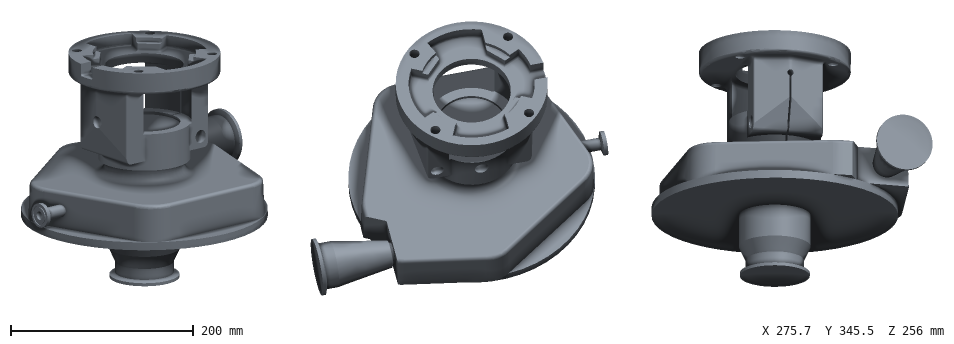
import cadquery as cq
import math


PLATE_RADIUS = 135.0
PLATE_THICKNESS = 9.0
HOUSING_TOP = 50.0
HOUSING_INRADIUS = 115.5
HOUSING_DRAFT = 2.0
HOUSING_CORNER = 34.5
CREST_Y = 133.5
HOUSING_TOP_FILLET = 4.0
LEFT_SIDE_ANGLE = 170.0
LEFT_SIDE_DISTANCE = 140.5
NOTCH_SIDE_ANGLE = 152.0
NOTCH_SIDE_DISTANCE = 109.5
OUTLET_FACE_Y = 110.2

INLET_RADIUS = 39.5
INLET_CONE_TOP = -35.5
INLET_CONE_END = -51.5
INLET_TIP_RADIUS = 32.0
INLET_LIP_RADIUS = 38.5
INLET_LIP_THICKNESS = 3.5
INLET_END = -69.5
LIP_FLARE = 2.0

NOZZLE_X = -96.5
NOZZLE_Z = 31.5
NOZZLE_NECK_RADIUS = 12.5
NOZZLE_START_Y = 113.5
NOZZLE_START_RADIUS = 15.2
NOZZLE_CONE_END_Y = 176.0
NOZZLE_RADIUS = 25.5
NOZZLE_LIP_RADIUS = 31.5
NOZZLE_LIP_THICKNESS = 3.8
NOZZLE_END_Y = 195.2
NOZZLE_ROUND = 1.5
NOZZLE_OVERLAP = 3.5

DRAIN_Z = 28.5
DRAIN_RADIUS = 7.0
DRAIN_LIP_RADIUS = 13.5
DRAIN_LIP_THICKNESS = 4.5
DRAIN_END_Y = -150.3
DRAIN_BORE_RADIUS = 5.0
DRAIN_BORE_DEPTH = 34.5
DRAIN_GROOVE_INNER = 9.0
DRAIN_GROOVE_OUTER = 11.0
DRAIN_GROOVE_DEPTH = 1.0

NECK_RADIUS = 44.5
NECK_FILLET = 10.0
RING_RADIUS = 50.5
RING_BOTTOM = 66.0
RING_TOP = 107.5
RING_BORE_RADIUS = 39.5
RING_BORE_DEPTH = 3.5
RING_HOLE_RADIUS = 7.5
RING_HOLE_Z = 95.0

LEG_HALF_WIDTH = 39.5
LEG_BOTTOM = 77.0
LEG_CREST_Y = 69.0
LEG_SIDE_Y = 58.7
LEG_INNER_RADIUS = 52.0
LEG_SLOPE_TOP = 116.0
LEG_SLOPE_BOTTOM = 84.3
LEG_BOTTOM_FILLET = 5.5
LEG_SIDE_FILLET = 2.0
LEG_CREST_FILLET = 8.3
LEG_TOP_FILLET = 4.5
FRONT_HOLE_RADIUS = 7.0
FRONT_HOLE_Z = 119.5
CLAMP_HOLE_RADIUS = 7.3
CLAMP_HOLE_Y = 47.5
CLAMP_HOLE_Z = 90.2
SPLIT_WIDTH = 2.5
SPLIT_TOP = 143.5
SPLIT_RELIEF_RADIUS = 3.5

FLANGE_RADIUS = 83.3
FLANGE_BOTTOM = 162.0
FLANGE_TOP = 186.5
FLANGE_FILLET = 3.5
FLANGE_BORE_RADIUS = 43.0
BOLT_OFFSET = 52.5
BOLT_HOLE_RADIUS = 5.5
POCKET_DEPTH = 13.8
POCKET_FILLET = 2.5
POCKET_Y_RADIUS = 69.0
POCKET_X_RADIUS = 73.0
REGISTER_RADIUS = 56.5
REGISTER_DEPTH = 5.0
KEYWAY_WIDTH = 20.0
LUG_RIM_X = 34.0
LUG_TIP_NEAR = 25.2
LUG_TIP_FAR = 43.2
LUG_SIDE_Y = 26.5
LUG_UPPER_RIM_Y = 35.5

CUT_MARGIN = 3.5


def disc(radius, bottom, top):
    return cq.Workplane("XY").workplane(offset=bottom).circle(radius).extrude(top - bottom)


def rod_along_x(radius, x_start, x_end, y, z):
    return cq.Workplane("YZ", origin=(x_start, 0, 0)).center(y, z).circle(radius).extrude(x_end - x_start)


def rod_along_y(radius, y_start, y_end, x, z):
    return cq.Workplane("XZ", origin=(x, y_start, z)).circle(radius).extrude(y_start - y_end)


def box(x_range, y_range, z_range):
    size = [high - low for low, high in (x_range, y_range, z_range)]
    return cq.Workplane("XY", origin=(x_range[0], y_range[0], z_range[0])).box(*size, centered=False)


def corner_point(side, next_side):
    """Crossing of two outline sides, each given as (normal angle, distance from the axis)."""
    a, b = math.radians(side[0]), math.radians(next_side[0])
    spread = math.sin(b - a)
    x = (side[1] * math.sin(b) - next_side[1] * math.sin(a)) / spread
    y = (next_side[1] * math.cos(a) - side[1] * math.cos(b)) / spread
    return x, y


def make_housing():
    right, upper_right, lower_left, lower_right = [
        (angle, HOUSING_INRADIUS) for angle in (0, 72, 216, 288)
    ]
    crest = (90, CREST_Y)
    left = (LEFT_SIDE_ANGLE, LEFT_SIDE_DISTANCE)
    sides = [right, upper_right, crest, left, lower_left, lower_right]
    corners = [corner_point(side, after) for side, after in zip(sides, sides[1:] + sides[:1])]
    body = (
        cq.Workplane("XY")
        .workplane(offset=PLATE_THICKNESS)
        .polyline(corners)
        .close()
        .extrude(HOUSING_TOP - PLATE_THICKNESS, taper=HOUSING_DRAFT)
    )
    body = body.edges("not #Z").fillet(HOUSING_CORNER)
    body = body.faces(">Z").edges().fillet(HOUSING_TOP_FILLET)

    outlet = (90, OUTLET_FACE_Y)
    notch = (NOTCH_SIDE_ANGLE, NOTCH_SIDE_DISTANCE)
    beyond = (90, CREST_Y + CUT_MARGIN)
    far_left = -LEFT_SIDE_DISTANCE
    notch_cut = (
        cq.Workplane("XY")
        .moveTo(far_left, OUTLET_FACE_Y)
        .lineTo(*corner_point(outlet, notch))
        .lineTo(*corner_point(beyond, notch))
        .lineTo(far_left, CREST_Y + CUT_MARGIN)
        .close()
        .extrude(HOUSING_TOP)
    )
    return body.cut(notch_cut)


def make_inlet():
    lip_top = INLET_END + INLET_LIP_THICKNESS
    profile = [
        (0, 0),
        (INLET_RADIUS, 0),
        (INLET_RADIUS, INLET_CONE_TOP),
        (INLET_TIP_RADIUS, INLET_CONE_END),
        (INLET_TIP_RADIUS, lip_top + LIP_FLARE),
        (INLET_LIP_RADIUS, lip_top),
        (INLET_LIP_RADIUS, INLET_END),
        (0, INLET_END),
    ]
    return cq.Workplane("XZ").polyline(profile).close().revolve(360, (0, 0), (0, 1))


def make_nozzle():
    buried_y = OUTLET_FACE_Y - NOZZLE_OVERLAP
    lip_y = NOZZLE_END_Y - NOZZLE_LIP_THICKNESS
    profile = [
        (0, buried_y),
        (NOZZLE_NECK_RADIUS, buried_y),
        (NOZZLE_NECK_RADIUS, NOZZLE_START_Y - NOZZLE_ROUND),
        (NOZZLE_START_RADIUS, NOZZLE_START_Y),
        (NOZZLE_RADIUS, NOZZLE_CONE_END_Y),
        (NOZZLE_RADIUS, lip_y - LIP_FLARE),
        (NOZZLE_LIP_RADIUS, lip_y),
        (NOZZLE_LIP_RADIUS, NOZZLE_END_Y),
        (0, NOZZLE_END_Y),
    ]
    turned = cq.Workplane("XY").polyline(profile).close().revolve(360, (0, 0), (0, 1))
    return turned.translate((NOZZLE_X, 0, NOZZLE_Z))


def make_drain():
    buried_y = -HOUSING_INRADIUS / 2
    lip_y = DRAIN_END_Y + DRAIN_LIP_THICKNESS
    profile = [
        (0, buried_y),
        (DRAIN_RADIUS, buried_y),
        (DRAIN_RADIUS, lip_y + LIP_FLARE),
        (DRAIN_LIP_RADIUS, lip_y),
        (DRAIN_LIP_RADIUS, DRAIN_END_Y),
        (DRAIN_GROOVE_OUTER, DRAIN_END_Y),
        (DRAIN_GROOVE_OUTER, DRAIN_END_Y + DRAIN_GROOVE_DEPTH),
        (DRAIN_GROOVE_INNER, DRAIN_END_Y + DRAIN_GROOVE_DEPTH),
        (DRAIN_GROOVE_INNER, DRAIN_END_Y),
        (0, DRAIN_END_Y),
    ]
    turned = cq.Workplane("XY").polyline(profile).close().revolve(360, (0, 0), (0, 1))
    return turned.translate((0, 0, DRAIN_Z))


def make_neck_and_ring():
    foot = HOUSING_TOP
    neck = (
        cq.Workplane("XZ")
        .moveTo(0, foot)
        .lineTo(NECK_RADIUS + NECK_FILLET, foot)
        .radiusArc((NECK_RADIUS, foot + NECK_FILLET), NECK_FILLET)
        .lineTo(NECK_RADIUS, RING_BOTTOM)
        .lineTo(RING_RADIUS, RING_BOTTOM)
        .lineTo(RING_RADIUS, RING_TOP)
        .lineTo(RING_BORE_RADIUS, RING_TOP)
        .lineTo(RING_BORE_RADIUS, RING_TOP - RING_BORE_DEPTH)
        .lineTo(0, RING_TOP - RING_BORE_DEPTH)
        .close()
        .revolve(360, (0, 0), (0, 1))
    )
    hole = rod_along_x(RING_HOLE_RADIUS, -RING_RADIUS - CUT_MARGIN, -RING_BORE_RADIUS, 0, RING_HOLE_Z)
    return neck.cut(hole)


def make_leg():
    """The leg on the -Y side, with a ridged outer face that slopes in at the bottom."""
    blank = (
        cq.Workplane("XY")
        .workplane(offset=LEG_BOTTOM)
        .moveTo(-LEG_HALF_WIDTH, 0)
        .lineTo(-LEG_HALF_WIDTH, -LEG_SIDE_Y)
        .lineTo(0, -LEG_CREST_Y)
        .lineTo(LEG_HALF_WIDTH, -LEG_SIDE_Y)
        .lineTo(LEG_HALF_WIDTH, 0)
        .close()
        .extrude(FLANGE_BOTTOM - LEG_BOTTOM)
    )
    blank = blank.edges("|Z and <Y").fillet(LEG_CREST_FILLET)
    blank = blank.edges("|Z and (<X or >X)").edges("<Y").fillet(LEG_SIDE_FILLET)
    slope_run = LEG_CREST_Y - LEG_SIDE_Y
    slope = slope_run / (LEG_SLOPE_TOP - LEG_SLOPE_BOTTOM)
    foot_y = LEG_SIDE_Y - slope * (LEG_SLOPE_BOTTOM - LEG_BOTTOM)
    wedge = (
        cq.Workplane("YZ")
        .polyline([(-LEG_CREST_Y, LEG_SLOPE_TOP), (-foot_y, LEG_BOTTOM), (-LEG_CREST_Y, LEG_BOTTOM)])
        .close()
        .extrude(LEG_HALF_WIDTH, both=True)
    )
    leg = blank.cut(wedge)
    leg = leg.faces("<Z").edges("<Y").fillet(LEG_BOTTOM_FILLET)
    leg = leg.cut(disc(LEG_INNER_RADIUS, RING_TOP, FLANGE_BOTTOM))
    return leg.cut(disc(RING_BORE_RADIUS, LEG_BOTTOM, RING_TOP))


def pocket_profile():
    """Pocket outline: four wide bays between four lugs, with a keyway open towards -Y."""
    half_key = KEYWAY_WIDTH / 2
    key_end = -FLANGE_RADIUS - CUT_MARGIN
    y_rim = math.sqrt(POCKET_Y_RADIUS**2 - LUG_RIM_X**2)
    key_y = math.sqrt(POCKET_Y_RADIUS**2 - half_key**2)
    upper_x = math.sqrt(POCKET_X_RADIUS**2 - LUG_UPPER_RIM_Y**2)
    lower_x = math.sqrt(POCKET_X_RADIUS**2 - LUG_SIDE_Y**2)
    return (
        cq.Workplane("XY")
        .workplane(offset=FLANGE_TOP)
        .moveTo(-LUG_RIM_X, y_rim)
        .threePointArc((0, POCKET_Y_RADIUS), (LUG_RIM_X, y_rim))
        .lineTo(LUG_TIP_NEAR, LUG_TIP_FAR)
        .lineTo(LUG_TIP_FAR, LUG_SIDE_Y)
        .lineTo(upper_x, LUG_UPPER_RIM_Y)
        .threePointArc((POCKET_X_RADIUS, 0), (lower_x, -LUG_SIDE_Y))
        .lineTo(LUG_TIP_FAR, -LUG_SIDE_Y)
        .lineTo(LUG_TIP_NEAR, -LUG_TIP_FAR)
        .lineTo(LUG_RIM_X, -y_rim)
        .radiusArc((half_key, -key_y), POCKET_Y_RADIUS)
        .lineTo(half_key, key_end)
        .lineTo(-half_key, key_end)
        .lineTo(-half_key, -key_y)
        .radiusArc((-LUG_RIM_X, -y_rim), POCKET_Y_RADIUS)
        .lineTo(-LUG_TIP_NEAR, -LUG_TIP_FAR)
        .lineTo(-LUG_TIP_FAR, -LUG_SIDE_Y)
        .lineTo(-lower_x, -LUG_SIDE_Y)
        .threePointArc((-POCKET_X_RADIUS, 0), (-upper_x, LUG_UPPER_RIM_Y))
        .lineTo(-LUG_TIP_FAR, LUG_SIDE_Y)
        .lineTo(-LUG_TIP_NEAR, LUG_TIP_FAR)
        .close()
    )


def cut_flange(body):
    pocket = pocket_profile().extrude(-POCKET_DEPTH)
    pocket = pocket.faces("<Z").edges("not <Y").fillet(POCKET_FILLET)
    body = body.cut(pocket)
    body = body.cut(disc(REGISTER_RADIUS, FLANGE_TOP - REGISTER_DEPTH, FLANGE_TOP))
    body = body.cut(disc(FLANGE_BORE_RADIUS, FLANGE_BOTTOM, FLANGE_TOP))
    for x in (-BOLT_OFFSET, BOLT_OFFSET):
        for y in (-BOLT_OFFSET, BOLT_OFFSET):
            hole = disc(BOLT_HOLE_RADIUS, FLANGE_BOTTOM, FLANGE_TOP).translate((x, y, 0))
            body = body.cut(hole)
    return body


def make_bracket():
    flange = disc(FLANGE_RADIUS, FLANGE_BOTTOM, FLANGE_TOP).faces("<Z").edges().fillet(FLANGE_FILLET)
    leg = make_leg()
    bracket = flange.union(leg).union(leg.mirror("XZ"))
    reach_x = LEG_HALF_WIDTH + CUT_MARGIN
    reach_y = LEG_CREST_Y + CUT_MARGIN
    root_zone = cq.selectors.BoxSelector(
        (-reach_x, -reach_y, FLANGE_BOTTOM - CUT_MARGIN),
        (reach_x, reach_y, FLANGE_BOTTOM + CUT_MARGIN),
    )
    underside = bracket.faces(cq.selectors.NearestToPointSelector((0, 0, FLANGE_BOTTOM)))
    bracket = underside.edges(root_zone).fillet(LEG_TOP_FILLET)
    return cut_flange(bracket)


def cut_leg_holes(body):
    front_hole = rod_along_y(FRONT_HOLE_RADIUS, -LEG_CREST_Y, -RING_BORE_RADIUS, 0, FRONT_HOLE_Z)
    clamp_hole = rod_along_x(
        CLAMP_HOLE_RADIUS, -LEG_HALF_WIDTH, LEG_HALF_WIDTH, CLAMP_HOLE_Y, CLAMP_HOLE_Z
    )
    half_split = SPLIT_WIDTH / 2
    split = box((-half_split, half_split), (RING_BORE_RADIUS, LEG_CREST_Y), (RING_BOTTOM, SPLIT_TOP))
    relief = rod_along_y(SPLIT_RELIEF_RADIUS, FLANGE_BORE_RADIUS, LEG_CREST_Y, 0, SPLIT_TOP)
    return body.cut(front_hole).cut(clamp_hole).cut(split).cut(relief)


result = (
    disc(PLATE_RADIUS, 0, PLATE_THICKNESS)
    .union(make_housing())
    .union(make_inlet())
    .union(make_nozzle())
    .union(make_drain())
    .union(make_neck_and_ring())
    .union(make_bracket())
)
result = cut_leg_holes(result)
drain_bore = rod_along_y(DRAIN_BORE_RADIUS, DRAIN_END_Y, DRAIN_END_Y + DRAIN_BORE_DEPTH, 0, DRAIN_Z)
result = result.cut(drain_bore)